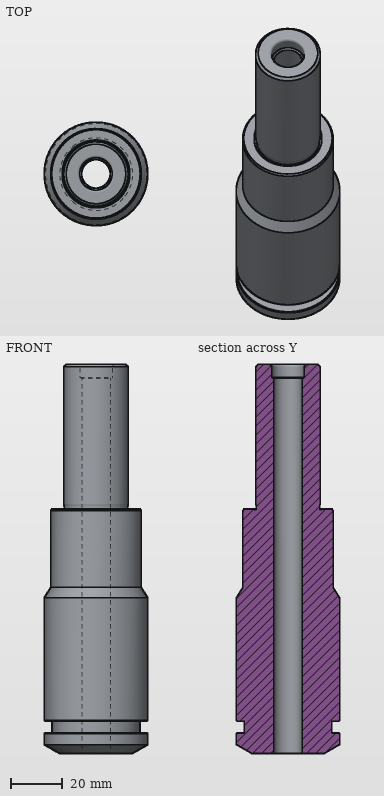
import cadquery as cq
import math

overall_height = 150.0

body_radius = 40.0 / 2
groove_radius = 34.0 / 2
sleeve_radius = 35.0 / 2
head_bottom_radius = 14.0
head_bevel_angle = 30.0
head_top = 8.0
barrel_bottom = 12.4
barrel_top = 60.0
shoulder_top = 64.0
sleeve_top = 94.3
groove_foot_round = 0.3
head_chamfer = 0.35
barrel_chamfer = 0.5
sleeve_chamfer_width = 0.5
sleeve_chamfer_height = 0.8

pin_radius = 25.0 / 2
pin_bottom = 96.2
neck_radius = 24.6 / 2
neck_top = 95.2
recess_radius = 26.2 / 2
recess_depth = 0.25
pin_chamfer_width = 1.05
pin_chamfer_height = 1.0

bore_radius = 10.92 / 2
counterbore_radius = 12.5 / 2
counterbore_depth = 5.0
entry_round = 1.0
step_cone_angle = 30.0


def revolve_outline(outline):
    """Turn a closed (radius, height) outline about the Z axis."""
    return outline.close().revolve(360, (0, 0, 0), (0, 1, 0))


def quarter_offset(round_radius):
    """Distance from a rounded corner's tangent lines to the middle of its quarter arc."""
    return round_radius * (1 - math.sqrt(0.5))


def make_body():
    bevel_height = (body_radius - head_bottom_radius) * math.tan(math.radians(head_bevel_angle))
    foot_offset = quarter_offset(groove_foot_round)
    outline = (
        cq.Workplane("XZ")
        .lineTo(head_bottom_radius, 0)
        .lineTo(body_radius, bevel_height)
        .lineTo(body_radius, head_top - head_chamfer)
        .lineTo(body_radius - head_chamfer, head_top)
        .lineTo(groove_radius + groove_foot_round, head_top)
        .threePointArc(
            (groove_radius + foot_offset, head_top + foot_offset),
            (groove_radius, head_top + groove_foot_round),
        )
        .lineTo(groove_radius, barrel_bottom)
        .lineTo(body_radius - barrel_chamfer, barrel_bottom)
        .lineTo(body_radius, barrel_bottom + barrel_chamfer)
        .lineTo(body_radius, barrel_top)
        .lineTo(sleeve_radius, shoulder_top)
        .lineTo(sleeve_radius, sleeve_top - sleeve_chamfer_height)
        .lineTo(sleeve_radius - sleeve_chamfer_width, sleeve_top)
        .lineTo(recess_radius, sleeve_top)
        .lineTo(recess_radius, sleeve_top - recess_depth)
        .lineTo(0, sleeve_top - recess_depth)
    )
    return revolve_outline(outline)


def make_pin():
    outline = cq.Workplane("XZ").polyline([
        (0, sleeve_top - recess_depth),
        (neck_radius, sleeve_top - recess_depth),
        (neck_radius, neck_top),
        (pin_radius, pin_bottom),
        (pin_radius, overall_height - pin_chamfer_height),
        (pin_radius - pin_chamfer_width, overall_height),
        (0, overall_height),
    ])
    return revolve_outline(outline)


def make_bore():
    step_top = overall_height - counterbore_depth
    step_height = (counterbore_radius - bore_radius) * math.tan(math.radians(step_cone_angle))
    entry_offset = quarter_offset(entry_round)
    outline = (
        cq.Workplane("XZ")
        .lineTo(bore_radius, 0)
        .lineTo(bore_radius, step_top - step_height)
        .lineTo(counterbore_radius, step_top)
        .lineTo(counterbore_radius, overall_height - entry_round)
        .threePointArc(
            (counterbore_radius + entry_offset, overall_height - entry_offset),
            (counterbore_radius + entry_round, overall_height),
        )
        .lineTo(0, overall_height)
    )
    return revolve_outline(outline)


result = make_body().union(make_pin()).cut(make_bore())